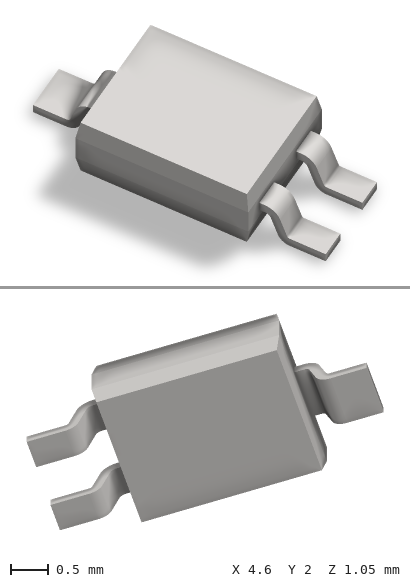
import cadquery as cq
import math

span = 4.6
body_length = 2.605
body_width = 2.0
standoff = 0.05
band_height = 0.4
taper_height = 0.3
taper_inset = 0.05

lead_thickness = 0.145
wide_lead_width = 0.705
narrow_lead_width = 0.4
narrow_lead_pitch = 1.0


def tapered_half(base_z, direction):
    """Frustum from the band edge at base_z, narrowing up (+1) or down (-1)."""
    return (
        cq.Workplane("XY", origin=(0, 0, base_z))
        .rect(body_length, body_width)
        .workplane(offset=direction * taper_height)
        .rect(body_length - 2 * taper_inset, body_width - 2 * taper_inset)
        .loft(ruled=True)
    )


def make_body():
    band_bottom = standoff + taper_height
    band = (
        cq.Workplane("XY", origin=(0, 0, band_bottom))
        .rect(body_length, body_width)
        .extrude(band_height)
    )
    upper = tapered_half(band_bottom + band_height, 1)
    lower = tapered_half(band_bottom, -1)
    return band.union(upper).union(lower)


def make_lead(width, center_y, top_z, shoulder, foot, upper_inner, lower_inner):
    """Gull-wing lead on the +X side.

    shoulder and foot are the straight lengths at the body and at the tip;
    upper_inner and lower_inner are the inside radii of the two bends.
    """
    upper_outer = upper_inner + lead_thickness
    lower_outer = lower_inner + lead_thickness
    root_x = body_length / 2
    tip_x = span / 2
    upper_x = root_x + shoulder
    upper_z = top_z - upper_outer
    lower_x = tip_x - foot
    lower_z = lower_outer

    run = lower_x - upper_x
    drop = upper_z - lower_z
    radius_sum = upper_outer + lower_inner
    bend = math.atan2(drop, run) + math.asin(radius_sum / math.hypot(run, drop))

    def on_upper(radius, angle):
        return (upper_x + radius * math.sin(angle), upper_z + radius * math.cos(angle))

    def on_lower(radius, angle):
        return (lower_x - radius * math.sin(angle), lower_z - radius * math.cos(angle))

    profile = (
        cq.Workplane("XZ", origin=(0, center_y, 0))
        .moveTo(root_x, top_z)
        .lineTo(upper_x, top_z)
        .threePointArc(on_upper(upper_outer, bend / 2), on_upper(upper_outer, bend))
        .lineTo(*on_lower(lower_inner, bend))
        .threePointArc(on_lower(lower_inner, bend / 2), on_lower(lower_inner, 0))
        .lineTo(tip_x, lead_thickness)
        .lineTo(tip_x, 0)
        .lineTo(lower_x, 0)
        .threePointArc(on_lower(lower_outer, bend / 2), on_lower(lower_outer, bend))
        .lineTo(*on_upper(upper_inner, bend))
        .threePointArc(on_upper(upper_inner, bend / 2), on_upper(upper_inner, 0))
        .lineTo(root_x, top_z - lead_thickness)
        .close()
    )
    return profile.extrude(width / 2, both=True)


wide_lead = make_lead(
    wide_lead_width, 0, top_z=0.6, shoulder=0.14, foot=0.5,
    upper_inner=0.07, lower_inner=0.07,
).mirror("YZ")

result = make_body().union(wide_lead)

for side in (-1, 1):
    narrow_lead = make_lead(
        narrow_lead_width, side * narrow_lead_pitch / 2, top_z=0.625, shoulder=0.08, foot=0.54,
        upper_inner=0.1, lower_inner=0.045,
    )
    result = result.union(narrow_lead)